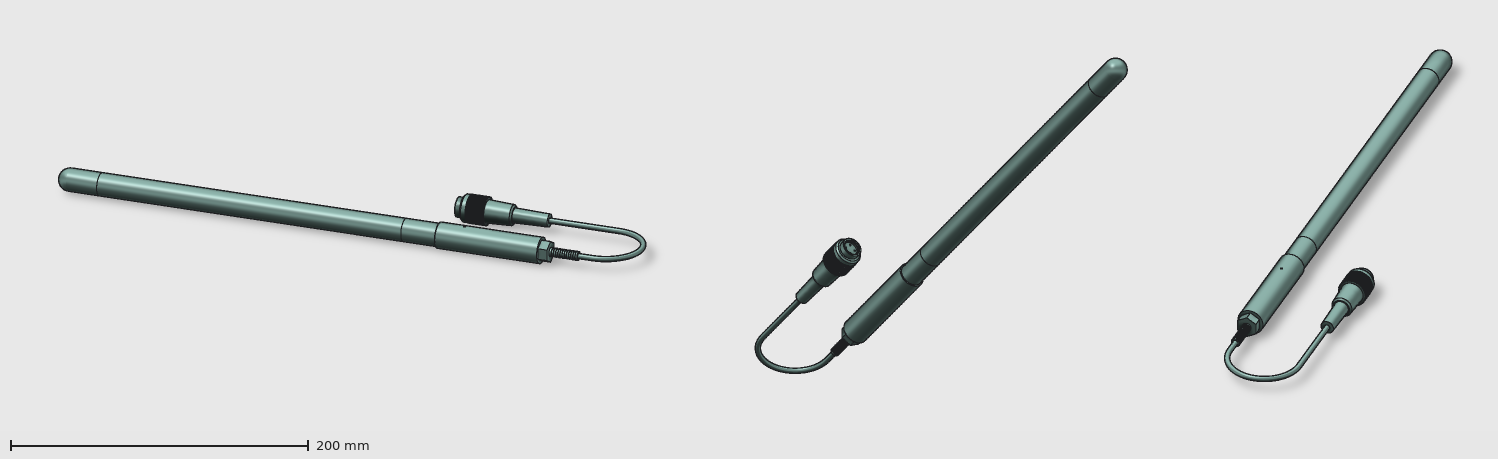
import cadquery as cq
import math

probe_diameter = 16.0
tip_length = 30.0
tube_end = 249.0
handle_diameter = 18.0
handle_start = 274.0
handle_end = 347.5
socket_depth = 20.5
locking_hole_diameter = 1.5
locking_hole_x = 292.0

nut_across_flats = 13.0
nut_end = 354.0
relief_diameter = 6.0
relief_groove_diameter = 5.0
relief_end = 374.2
relief_groove_count = 6

total_length = 411.2
cable_diameter = 3.5
plug_y = 50.0
bend_radius = plug_y / 2
bend_x = total_length - cable_diameter / 2 - bend_radius

shell_start = 268.0
shell_diameter = 14.0
mouth_diameter = 11.5
mouth_depth = 1.2
recess_diameter = 10.3
recess_depth = 2.5
contact_count = 4
contact_diameter = 1.0
contact_circle_radius = 3.5
contact_depth = 2.5

collar_start = 272.2
collar_diameter = 19.5
collar_chamfer = 1.2
knurl_diameter = 19.7
knurl_depth = 0.5
knurl_start = 276.8
knurl_end = 289.5
knurl_tooth_count = 60

barrel_front_diameter = 16.0
barrel_rear_diameter = 14.5
barrel_end = 309.0
barrel_rear_chamfer = 1.2

boot_front_diameter = 10.3
boot_rear_diameter = 9.0
boot_end = 334.0


def yz_plane(x, y=0):
    """Plane facing +X with its origin on the axis at height y."""
    return cq.Workplane("YZ", origin=(x, y, 0))


def cylinder(diameter, start, end, y=0):
    """Round bar along X between two stations."""
    return yz_plane(start, y).circle(diameter / 2).extrude(end - start)


def cone(front_diameter, rear_diameter, start, end, y=0):
    """Bar along X whose diameter changes evenly between two stations."""
    front = yz_plane(start, y).circle(front_diameter / 2)
    return front.workplane(offset=end - start).circle(rear_diameter / 2).loft(ruled=True)


def make_tip():
    bar = cylinder(probe_diameter, probe_diameter / 2, tip_length)
    dome = cq.Workplane("XY").moveTo(0, 0)
    dome_radius = probe_diameter / 2
    half_chord = dome_radius * math.sqrt(0.5)
    dome = (
        dome.threePointArc((dome_radius - half_chord, half_chord), (dome_radius, dome_radius))
        .lineTo(dome_radius, 0)
        .close()
        .revolve(360, (0, 0, 0), (1, 0, 0))
    )
    return bar.union(dome)


def make_tube():
    return cylinder(probe_diameter, tip_length, tube_end)


def make_neck():
    """Bar behind the tube; its rear part fills the handle socket."""
    return cylinder(probe_diameter, tube_end, handle_start + socket_depth)


def make_handle():
    """Grip with a blind socket for the neck and a small hole through the socket wall on top."""
    grip = cylinder(handle_diameter, handle_start, handle_end)
    socket = cylinder(probe_diameter, handle_start, handle_start + socket_depth)
    locking_hole = (
        cq.Workplane("XY", origin=(locking_hole_x, 0, 0))
        .circle(locking_hole_diameter / 2)
        .extrude(handle_diameter / 2)
    )
    return grip.cut(socket).cut(locking_hole)


def make_nut():
    """Hexagon with two corners pointing up and down."""
    across_corners = nut_across_flats / math.cos(math.radians(30))
    hexagon = yz_plane(handle_end).transformed(rotate=(0, 0, 90)).polygon(6, across_corners)
    nut = hexagon.extrude(nut_end - handle_end)
    return nut.cut(cylinder(cable_diameter, handle_end, nut_end))


def make_strain_relief():
    """Grooved sleeve: ribs and grooves of equal width, a rib at each end."""
    relief = cylinder(relief_diameter, nut_end, relief_end)
    rib_width = (relief_end - nut_end) / (2 * relief_groove_count + 1)
    for index in range(relief_groove_count):
        groove_start = nut_end + (2 * index + 1) * rib_width
        groove_end = groove_start + rib_width
        groove = cylinder(relief_diameter, groove_start, groove_end)
        groove = groove.cut(cylinder(relief_groove_diameter, groove_start, groove_end))
        relief = relief.cut(groove)
    return relief.cut(cylinder(cable_diameter, nut_end, relief_end))


def make_cable():
    path = (
        cq.Workplane("XY")
        .moveTo(handle_end, 0)
        .lineTo(bend_x, 0)
        .threePointArc((bend_x + bend_radius, bend_radius), (bend_x, plug_y))
        .lineTo(barrel_end, plug_y)
    )
    return yz_plane(handle_end).circle(cable_diameter / 2).sweep(path)


def make_boot():
    boot = cone(boot_front_diameter, boot_rear_diameter, barrel_end, boot_end, plug_y)
    return boot.cut(cylinder(cable_diameter, barrel_end, boot_end, plug_y))


def make_barrel():
    """Tapered body with the plug shell in front of it."""
    shell = cylinder(shell_diameter, shell_start, knurl_end, plug_y)
    body = cone(barrel_front_diameter, barrel_rear_diameter, knurl_end, barrel_end, plug_y)
    body = body.faces(">X").chamfer(barrel_rear_chamfer)
    mouth = cylinder(mouth_diameter, shell_start, shell_start + mouth_depth, plug_y)
    recess_floor = shell_start + recess_depth
    recess = cylinder(recess_diameter, shell_start, recess_floor, plug_y)
    contacts = (
        yz_plane(recess_floor, plug_y)
        .polarArray(contact_circle_radius, 0, 360, contact_count)
        .circle(contact_diameter / 2)
        .extrude(contact_depth)
    )
    return body.union(shell).cut(mouth).cut(recess).cut(contacts)


def make_collar():
    """Ring around the shell: a plain chamfered lip, then a straight knurl."""
    lip = cylinder(collar_diameter, collar_start, knurl_start, plug_y)
    lip = lip.faces("<X").chamfer(collar_chamfer)
    crest_radius = knurl_diameter / 2
    profile = []
    for index in range(2 * knurl_tooth_count):
        angle = math.pi * index / knurl_tooth_count
        radius = crest_radius if index % 2 == 0 else crest_radius - knurl_depth
        profile.append((radius * math.cos(angle), radius * math.sin(angle)))
    knurl = yz_plane(knurl_start, plug_y).polyline(profile).close().extrude(knurl_end - knurl_start)
    return lip.union(knurl).cut(cylinder(shell_diameter, collar_start, knurl_end, plug_y))


bodies = [
    make_tip(),
    make_tube(),
    make_neck(),
    make_handle(),
    make_nut(),
    make_strain_relief(),
    make_cable(),
    make_boot(),
    make_barrel(),
    make_collar(),
]
result = cq.Compound.makeCompound([body.val() for body in bodies])